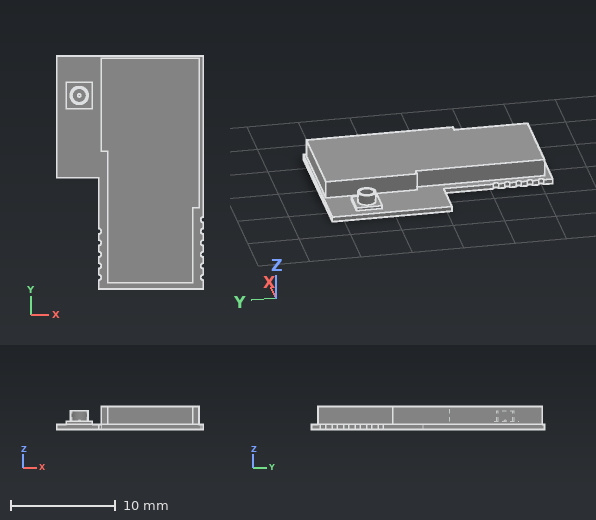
import cadquery as cq

board_width = 14.0
board_length = 22.27
board_thickness = 0.5
tail_left = 4.0
tail_length = 10.62

contact_radius = 0.25
contact_pitch = 1.1
first_contact_y = 1.13
left_contact_count = 5
right_contact_count = 6

can_height = 1.7
can_left = 4.25
can_right = board_width - 0.4
can_top = board_length - 0.23
can_bottom = 0.62
can_tail_left = 4.87
can_tail_right = board_width - 1.0
can_left_step_y = 13.17
can_right_step_y = 7.77

connector_x = 2.16
connector_y = board_length - 3.785
connector_base_size = 2.5
connector_base_height = 0.3
sleeve_outer_diameter = 1.7
sleeve_inner_diameter = 1.4
sleeve_height = 1.0
pin_radius = 0.15
pin_height = pin_radius


def make_board():
    """L-shaped board with a narrower tail on the right."""
    return (
        cq.Workplane("XY")
        .moveTo(tail_left, 0)
        .lineTo(board_width, 0)
        .lineTo(board_width, board_length)
        .lineTo(0, board_length)
        .lineTo(0, tail_length)
        .lineTo(tail_left, tail_length)
        .close()
        .extrude(board_thickness)
    )


def make_contact_row(edge_x, count):
    """Cylinders centred on one long edge; each leaves a half-round notch."""
    centres = [(edge_x, first_contact_y + i * contact_pitch) for i in range(count)]
    return cq.Workplane("XY").pushPoints(centres).circle(contact_radius).extrude(board_thickness)


def make_can():
    """Flat-topped can that narrows on both sides toward the tail."""
    return (
        cq.Workplane("XY")
        .workplane(offset=board_thickness)
        .moveTo(can_tail_left, can_bottom)
        .lineTo(can_tail_right, can_bottom)
        .lineTo(can_tail_right, can_right_step_y)
        .lineTo(can_right, can_right_step_y)
        .lineTo(can_right, can_top)
        .lineTo(can_left, can_top)
        .lineTo(can_left, can_left_step_y)
        .lineTo(can_tail_left, can_left_step_y)
        .close()
        .extrude(can_height)
    )


def make_connector():
    """Square base carrying a thin round sleeve around a small pointed centre pin."""
    base_plane = cq.Workplane("XY", origin=(connector_x, connector_y, board_thickness))
    base = base_plane.rect(connector_base_size, connector_base_size).extrude(connector_base_height)
    base_top = base_plane.workplane(offset=connector_base_height)
    sleeve = (
        base_top
        .circle(sleeve_outer_diameter / 2)
        .circle(sleeve_inner_diameter / 2)
        .extrude(sleeve_height)
    )
    pin_foot = cq.Vector(connector_x, connector_y, board_thickness + connector_base_height)
    pin = cq.Workplane(cq.Solid.makeCone(pin_radius, 0, pin_height, pnt=pin_foot))
    return base.union(sleeve).union(pin)


board = make_board()
board = board.cut(make_contact_row(tail_left, left_contact_count))
board = board.cut(make_contact_row(board_width, right_contact_count))

result = board.union(make_can()).union(make_connector())